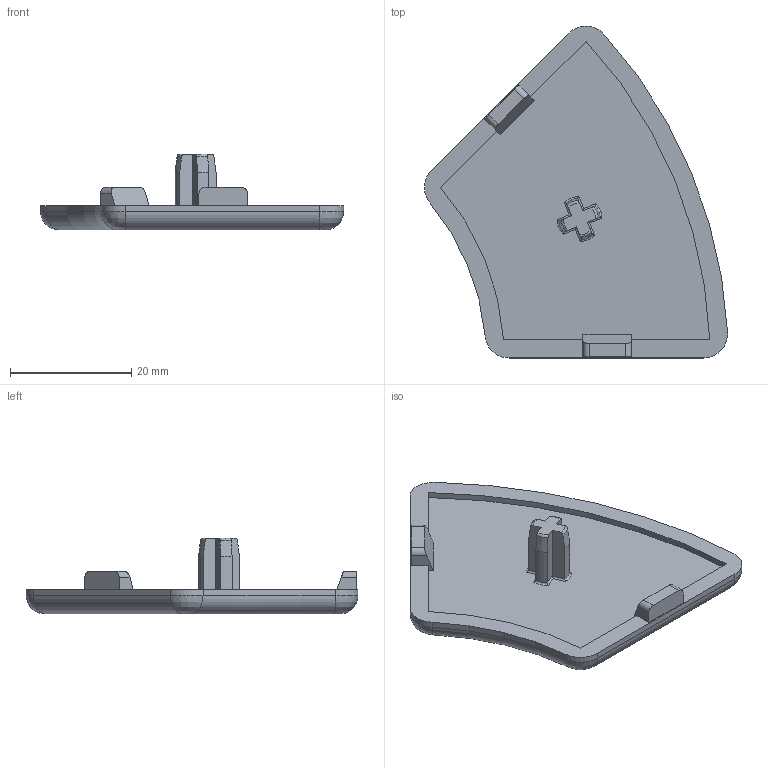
import math

import cadquery as cq

SECTOR_ANGLE = 45.0
INNER_RADIUS = 40.0
OUTER_RADIUS = 80.0
PLATE_THICKNESS = 4.0
CORNER_RADIUS = 4.0
BOTTOM_EDGE_RADIUS = 3.0

RIM_WIDTH = 3.0
POCKET_DEPTH = 1.0

TAB_LENGTH = 8.0
TAB_HEIGHT = 3.0
TAB_TOP_DEPTH = 2.2
TAB_SLOPE_ANGLE = 20.0
TAB_EDGE_INSET = 0.2
TAB_CORNER_RADIUS = 1.0

TOTAL_HEIGHT = 12.5
STEM_RADIUS = 3.4
STEM_TIP_RADIUS = 3.0
STEM_TAPER_HEIGHT = 3.0
STEM_TIP_FILLET = 0.4
STEM_ARM_WIDTH = 2.0
STEM_BASE_FILLET = 0.3

MID_ANGLE = SECTOR_ANGLE / 2
MID_RADIUS = (INNER_RADIUS + OUTER_RADIUS) / 2
FLOOR_Z = PLATE_THICKNESS - POCKET_DEPTH


def polar(radius, angle):
    """Point at a radius and an angle in degrees, measured from the X axis."""
    return (
        radius * math.cos(math.radians(angle)),
        radius * math.sin(math.radians(angle)),
    )


def ring_sector(inset, bottom_z, height):
    """Solid ring sector whose four sides are moved inwards by the inset."""
    inner = INNER_RADIUS + inset
    outer = OUTER_RADIUS - inset
    inner_shift = math.degrees(math.asin(inset / inner))
    outer_shift = math.degrees(math.asin(inset / outer))
    return (
        cq.Workplane("XY", origin=(0, 0, bottom_z))
        .moveTo(*polar(inner, inner_shift))
        .lineTo(*polar(outer, outer_shift))
        .threePointArc(polar(outer, MID_ANGLE), polar(outer, SECTOR_ANGLE - outer_shift))
        .lineTo(*polar(inner, SECTOR_ANGLE - inner_shift))
        .threePointArc(polar(inner, MID_ANGLE), polar(inner, inner_shift))
        .close()
        .extrude(height)
    )


def make_plate():
    plate = ring_sector(0, 0, PLATE_THICKNESS)
    plate = plate.edges("|Z").fillet(CORNER_RADIUS)
    plate = plate.faces("<Z").edges().fillet(BOTTOM_EDGE_RADIUS)
    return plate.cut(ring_sector(RIM_WIDTH, FLOOR_Z, POCKET_DEPTH))


def make_tab():
    """Tab on the straight edge along the X axis, sloping towards the pocket."""
    height = TAB_HEIGHT + POCKET_DEPTH
    base_depth = TAB_TOP_DEPTH + height * math.tan(math.radians(TAB_SLOPE_ANGLE))
    block = (
        cq.Workplane("YZ", origin=(MID_RADIUS - TAB_LENGTH / 2, TAB_EDGE_INSET, FLOOR_Z))
        .polyline([(0, 0), (base_depth, 0), (TAB_TOP_DEPTH, height), (0, height)])
        .close()
        .extrude(TAB_LENGTH)
    )
    rounded_envelope = (
        cq.Workplane("XY", origin=(MID_RADIUS, TAB_EDGE_INSET + base_depth / 2, FLOOR_Z))
        .box(TAB_LENGTH, base_depth, height, centered=(True, True, False))
        .edges("|Y and >Z")
        .fillet(TAB_CORNER_RADIUS)
    )
    return block.intersect(rounded_envelope)


def mirror_across_sector(body):
    """Mirror a body in the vertical plane that halves the sector."""
    return body.mirror("XZ").rotate((0, 0, 0), (0, 0, 1), SECTOR_ANGLE)


def make_stem():
    """Cross-shaped stem with tapered, rounded arm ends."""
    height = TOTAL_HEIGHT - FLOOR_Z
    turned = (
        cq.Workplane("XZ")
        .polyline([
            (0, 0),
            (STEM_RADIUS, 0),
            (STEM_RADIUS, height - STEM_TAPER_HEIGHT),
            (STEM_TIP_RADIUS, height),
            (0, height),
        ])
        .close()
        .revolve()
        .faces(">Z")
        .edges()
        .fillet(STEM_TIP_FILLET)
    )
    arm_length = 2 * STEM_RADIUS + STEM_ARM_WIDTH
    arm = cq.Workplane("XY").box(arm_length, STEM_ARM_WIDTH, height, centered=(True, True, False))
    cross = arm.union(arm.rotate((0, 0, 0), (0, 0, 1), 90))
    stem = turned.intersect(cross)
    stem = stem.rotate((0, 0, 0), (0, 0, 1), MID_ANGLE)
    return stem.translate((*polar(MID_RADIUS, MID_ANGLE), FLOOR_Z))


def blend_stem_base(body):
    """Round the corner between the stem and the pocket floor."""
    reach = STEM_RADIUS + STEM_BASE_FILLET
    center_x, center_y = polar(MID_RADIUS, MID_ANGLE)
    base_edges = body.edges(
        cq.selectors.BoxSelector(
            (center_x - reach, center_y - reach, FLOOR_Z - STEM_BASE_FILLET),
            (center_x + reach, center_y + reach, FLOOR_Z + STEM_BASE_FILLET),
        )
    )
    return base_edges.fillet(STEM_BASE_FILLET)


tab = make_tab()
result = blend_stem_base(make_plate().union(make_stem()))
result = result.union(tab).union(mirror_across_sector(tab))